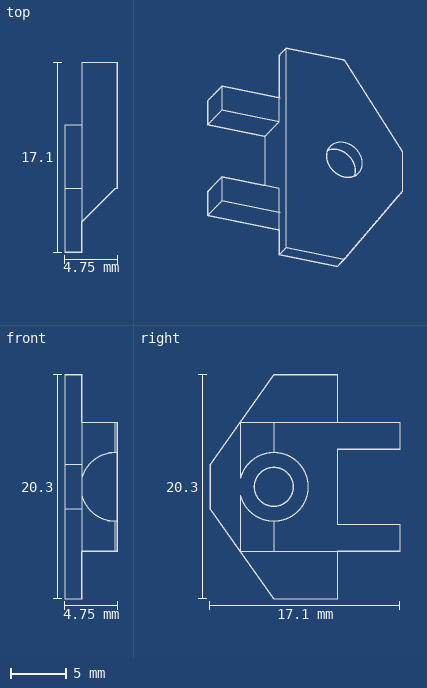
import cadquery as cq

plate_thickness = 1.55
plate_width = 11.5
plate_height = 20.25
nose_height = 4.0
hole_diameter = 3.5

total_thickness = 4.75
total_length = 17.15
block_height = 11.65
prong_height = 2.44
bevel_length = 3.0
recess_diameter = 6.2

half_width = plate_width / 2
block_thickness = total_thickness - plate_thickness
prong_end = total_length - half_width
prong_gap = block_height - 2 * prong_height


def make_plate():
    """Plate with a straight back edge and a nose tapering towards -Y."""
    outline = [
        (half_width, -plate_height / 2),
        (half_width, plate_height / 2),
        (0, plate_height / 2),
        (-half_width, nose_height / 2),
        (-half_width, -nose_height / 2),
        (0, -plate_height / 2),
    ]
    return cq.Workplane("YZ").polyline(outline).close().extrude(plate_thickness)


def make_block():
    """Block with a 45 degree bevel that ends level with the hole axis."""
    profile = [
        (plate_thickness, -bevel_length),
        (plate_thickness, prong_end),
        (total_thickness, prong_end),
        (total_thickness, 0),
        (plate_thickness + bevel_length, 0),
    ]
    return (
        cq.Workplane("XY")
        .workplane(offset=-block_height / 2)
        .polyline(profile)
        .close()
        .extrude(block_height)
    )


def make_prong_slot():
    """Open space between the prongs, from the plate's back edge outwards."""
    return (
        cq.Workplane("XY")
        .box(block_thickness, prong_end - half_width, prong_gap, centered=(False, False, True))
        .translate((plate_thickness, half_width, 0))
    )


def make_recess():
    """Round recess through the block, coaxial with the hole."""
    return (
        cq.Workplane("YZ")
        .workplane(offset=plate_thickness)
        .circle(recess_diameter / 2)
        .extrude(block_thickness)
    )


def make_hole():
    return cq.Workplane("YZ").circle(hole_diameter / 2).extrude(plate_thickness)


block = make_block().cut(make_prong_slot()).cut(make_recess())
result = make_plate().union(block).cut(make_hole())